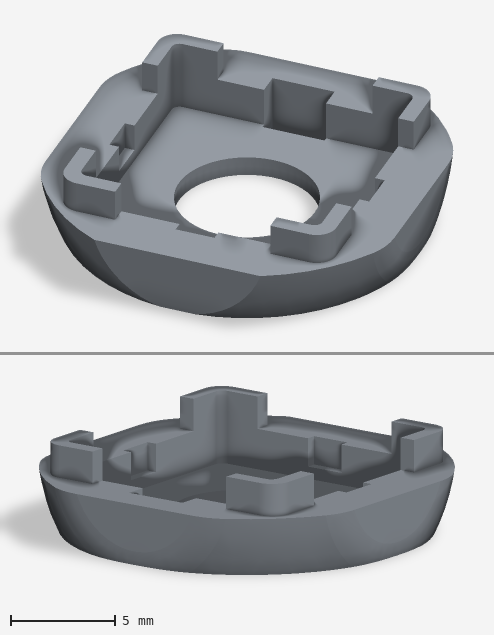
import cadquery as cq
import math

side = 18.0
body_height = 3.0
sphere_radius = 10.07
sphere_centre_rise = 1.43
sphere_centre_z = body_height + sphere_centre_rise
side_blend_radius = 3.0

pocket_size = 12.4
pocket_corner_radius = 0.4
floor_thickness = 1.0
opening_diameter = 7.0

post_height = 1.6
post_outer_size = 14.0
post_corner_radius = 1.0
post_gap = 8.0

notch_width = 2.0
notch_recess = 0.5
notch_depth = 1.4

slot_width = 3.2
slot_inner_y = 6.0
slot_outer_y = 7.3


def box_on(z_bottom, size_x, size_y, height, centre=(0, 0)):
    """Box centred on a point in XY, standing on the given Z level."""
    return (
        cq.Workplane("XY", origin=(centre[0], centre[1], z_bottom))
        .rect(size_x, size_y)
        .extrude(height)
    )


def make_barrel(both_ends_blended):
    """Sphere with flats at both X ends, revolved about X.

    The +X flat always blends into the sphere; the -X flat blends or meets it in a sharp edge.
    """
    half_length = side / 2
    blend_x = half_length - side_blend_radius
    flat_edge = math.sqrt((sphere_radius - side_blend_radius) ** 2 - blend_x ** 2)
    sharp_edge = math.sqrt(sphere_radius ** 2 - half_length ** 2)
    reach = sphere_radius / (sphere_radius - side_blend_radius)
    tangent_x = blend_x * reach
    tangent_y = flat_edge * reach
    crest = (0, sphere_radius)

    profile = cq.Workplane("XY").moveTo(half_length, 0).lineTo(half_length, flat_edge)
    profile = profile.tangentArcPoint((tangent_x, tangent_y), relative=False)
    if both_ends_blended:
        profile = profile.threePointArc(crest, (-tangent_x, tangent_y))
        profile = profile.tangentArcPoint((-half_length, flat_edge), relative=False)
    else:
        profile = profile.threePointArc(crest, (-half_length, sharp_edge))
    profile = profile.lineTo(-half_length, 0).close()
    barrel = profile.revolve(360, (0, 0, 0), (1, 0, 0))
    return barrel.translate((0, 0, sphere_centre_z))


def make_body():
    """Slice of two crossed barrels; the -X, +X and +Y flats are blended, the -Y flat is sharp."""
    along_x = make_barrel(both_ends_blended=True)
    along_y = make_barrel(both_ends_blended=False).rotate((0, 0, 0), (0, 0, 1), 90)
    slab_size = 3 * sphere_radius
    slab = box_on(0, slab_size, slab_size, body_height)
    return along_x.intersect(along_y.intersect(slab))


def make_posts():
    """Rounded square ring interrupted by a cross-shaped gap, leaving four corners."""
    posts = box_on(body_height, post_outer_size, post_outer_size, post_height)
    posts = posts.edges("|Z").fillet(post_corner_radius)
    posts = posts.cut(box_on(body_height, post_gap, side, post_height))
    return posts.cut(box_on(body_height, side, post_gap, post_height))


def make_pocket():
    """Rounded square cavity from the floor up through the posts."""
    depth = body_height + post_height - floor_thickness
    pocket = box_on(floor_thickness, pocket_size, pocket_size, depth)
    return pocket.edges("|Z").fillet(pocket_corner_radius)


def make_notches():
    """One bar across X notches both side walls; one bar notches the -Y wall."""
    z_bottom = body_height - notch_depth
    reach = pocket_size / 2 + notch_recess
    across = box_on(z_bottom, 2 * reach, notch_width, notch_depth)
    front = box_on(z_bottom, notch_width, reach, notch_depth, (0, -reach / 2))
    return across.union(front)


def make_slot():
    """Rectangular slot through the full body height."""
    centre_y = (slot_inner_y + slot_outer_y) / 2
    return box_on(0, slot_width, slot_outer_y - slot_inner_y, body_height, (0, centre_y))


def make_opening():
    """Round hole through the pocket floor."""
    return cq.Workplane("XY").circle(opening_diameter / 2).extrude(floor_thickness)


result = (
    make_body()
    .union(make_posts())
    .cut(make_pocket())
    .cut(make_notches())
    .cut(make_slot())
    .cut(make_opening())
)